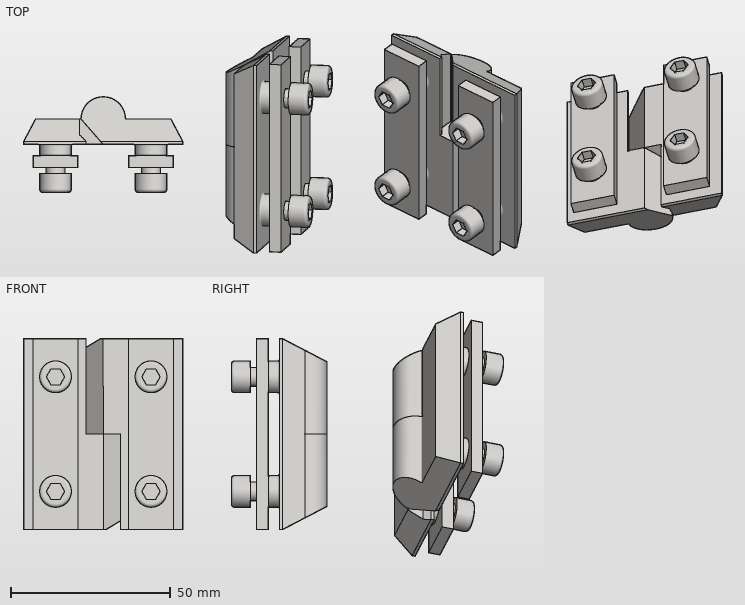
import cadquery as cq
import math


hinge_width = 50.0
hinge_height = 60.0
leaf_thickness = 8.0
rim_thickness = 1.0
bevel_angle = 28.0
end_bevel_angle = 27.5
knuckle_radius = 7.0
knuckle_clearance = 0.4
knuckle_root_fillet = 0.4
edge_straight_depth = 5.0
edge_step = 2.0

boss_diameter = 10.0
boss_height = 3.5
boss_root_fillet = 0.5
boss_tip_fillet = 0.5

plate_width = 14.0
plate_thickness = 3.75

screw_offset_x = 15.0
screw_offset_z = 18.0
screw_diameter = 6.0
screw_length = 12.0
head_diameter = 10.0
head_height = 6.0
head_fillet = 1.0
head_gap = 1.85
socket_flats = 5.0
socket_depth = 3.0

half_width = hinge_width / 2
half_height = hinge_height / 2
mount_y = -leaf_thickness
rim_y = mount_y + rim_thickness
boss_tip_y = mount_y - boss_height
plate_front_y = boss_tip_y - plate_thickness
head_seat_y = plate_front_y - head_gap
bevel_inset = -rim_y * math.tan(math.radians(bevel_angle))
end_bevel_inset = (knuckle_radius - rim_y) * math.tan(math.radians(end_bevel_angle))
screw_heights = (-screw_offset_z, screw_offset_z)


def cylinder(diameter, length, start_y, x, z):
    """Cylinder along Y that runs from start_y toward -Y."""
    plane = cq.Plane(origin=(x, start_y, z), xDir=(1, 0, 0), normal=(0, -1, 0))
    return cq.Workplane(plane).circle(diameter / 2).extrude(length)


def outer_side(outline):
    """Continue a leaf outline from the back face to the mounting face around its outer side."""
    return (
        outline.lineTo(-half_width + bevel_inset, 0)
        .lineTo(-half_width, rim_y)
        .lineTo(-half_width, mount_y)
    )


def knuckle_half():
    """Lower half of the left leaf, which carries the knuckle."""
    outline = cq.Workplane("XY").moveTo(knuckle_radius, 0)
    outline = outline.threePointArc((0, knuckle_radius), (-knuckle_radius, 0))
    half = outer_side(outline).lineTo(0, mount_y).close().extrude(-half_height)
    root = cq.selectors.NearestToPointSelector((-knuckle_radius, 0, -half_height / 2))
    return half.edges(root).fillet(knuckle_root_fillet)


def clearance_half():
    """Upper half of the left leaf, cut back beside the other leaf's knuckle."""
    edge_x = -knuckle_radius - knuckle_clearance
    outline = outer_side(cq.Workplane("XY").moveTo(edge_x, 0))
    return (
        outline.lineTo(edge_x + edge_step, mount_y)
        .lineTo(edge_x + edge_step, -edge_straight_depth - edge_step)
        .lineTo(edge_x, -edge_straight_depth)
        .close()
        .extrude(half_height)
    )


def end_envelope():
    """Side profile of the leaf with both ends beveled, as wide as the hinge."""
    return (
        cq.Workplane("YZ")
        .moveTo(mount_y, -half_height)
        .lineTo(rim_y, -half_height)
        .lineTo(knuckle_radius, -half_height + end_bevel_inset)
        .lineTo(knuckle_radius, half_height - end_bevel_inset)
        .lineTo(rim_y, half_height)
        .lineTo(mount_y, half_height)
        .close()
        .extrude(half_width, both=True)
    )


def add_bosses(leaf):
    """Add the two rounded screw bosses to the mounting face."""
    for z in screw_heights:
        leaf = leaf.union(cylinder(boss_diameter, boss_height, mount_y, -screw_offset_x, z))
    for z in screw_heights:
        for y, radius in ((mount_y, boss_root_fillet), (boss_tip_y, boss_tip_fillet)):
            rim_point = (-screw_offset_x, y, z)
            rim = cq.selectors.NearestToPointSelector(rim_point)
            leaf = leaf.edges("%CIRCLE").edges(rim).fillet(radius)
    return leaf


def make_leaf():
    """Left leaf with its knuckle, bosses and blind screw holes."""
    leaf = knuckle_half().union(clearance_half()).intersect(end_envelope())
    leaf = add_bosses(leaf)
    tip_y = head_seat_y + screw_length
    for z in screw_heights:
        leaf = leaf.cut(cylinder(screw_diameter, tip_y - boss_tip_y, tip_y, -screw_offset_x, z))
    return leaf


def make_plate(x):
    """Clamp plate resting on the bosses, with two close-fitting screw holes."""
    plate = cq.Workplane("XY").box(plate_width, plate_thickness, hinge_height)
    plate = plate.translate((x, boss_tip_y - plate_thickness / 2, 0))
    for z in screw_heights:
        plate = plate.cut(cylinder(screw_diameter, plate_thickness, boss_tip_y, x, z))
    return plate


def make_screw(x, z):
    """Socket head screw that points toward +Y."""
    head = cylinder(head_diameter, head_height, head_seat_y, x, z).faces("<Y").edges().fillet(head_fillet)
    shank = cylinder(screw_diameter, screw_length, head_seat_y + screw_length, x, z)
    socket_corners = socket_flats / math.cos(math.radians(30))
    socket = (
        cq.Workplane("XZ", origin=(x, head_seat_y - head_height, z))
        .polygon(6, socket_corners)
        .extrude(-socket_depth)
    )
    return head.union(shank).cut(socket)


left_leaf = make_leaf()
right_leaf = left_leaf.rotate((0, 0, 0), (0, 1, 0), 180)

screw_columns = (-screw_offset_x, screw_offset_x)
plates = [make_plate(x).val() for x in screw_columns]
screws = [make_screw(x, z).val() for x in screw_columns for z in screw_heights]

result = cq.Compound.makeCompound([left_leaf.val(), right_leaf.val(), *plates, *screws])